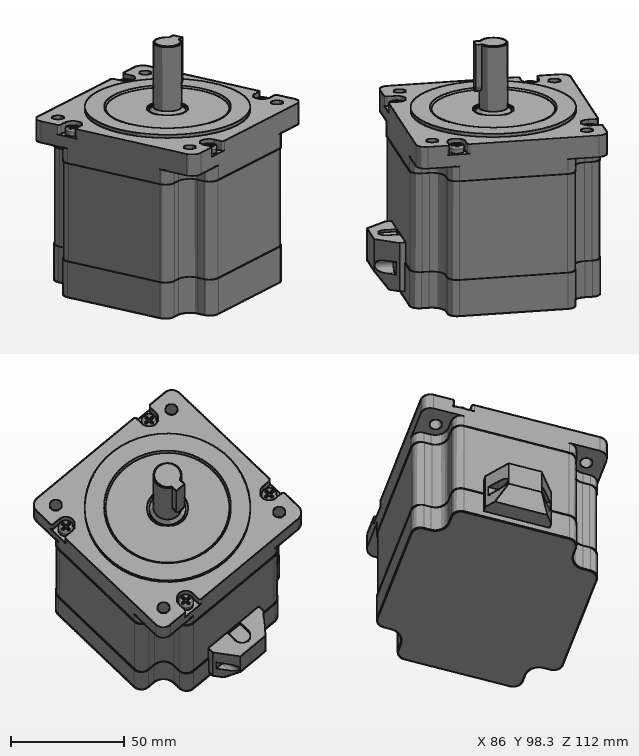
import cadquery as cq
import math

overall_height = 112.0
end_bell_top = 17.0
front_bell_bottom = 63.0
flange_bottom = 69.9
flange_top = 80.0
pilot_top = 81.5

flange_side = 86.0
half_side = flange_side / 2
corner_radius = 4.5
scoop_center = 35.2
scoop_edge = 28.9
lamination_inset = 0.3
lamination_scoop_inset = 0.1
bottom_chamfer = 0.3

bolt_offset = 34.8
bolt_hole_radius = 2.7

pilot_radius = 36.5
recess_radius = 28.0
recess_floor_radius = 27.2
recess_depth = 0.8
seal_bore_radius = 9.1
seal_radius = 8.1

shaft_radius = 6.3
shaft_chamfer = 0.5
key_width = 5.0
key_inner_y = 3.4
key_outer_y = 8.4
key_bottom = 89.7

screw_x = 24.6
screw_y = 38.3
pocket_radius = 4.0
pocket_depth = 4.5
pocket_mouth_fillet = 1.0
screw_radius = 3.4
screw_height = 3.0
screw_edge_radius = 0.9
cross_length = 4.4
cross_width = 0.9
cross_depth = 0.6

connector_bottom = 4.0
connector_top = 26.5
connector_end_y = 55.3
connector_taper_y = 45.5
connector_half_width = 15.2
connector_end_half_width = 7.6
connector_root_y = 40.3
underside_slope_y = 49.5
underside_slope_top = 11.6
thumb_radius = 3.7
thumb_tip_y = 51.9
thumb_depth = 1.1
grip_radius = 2.9
grip_z = 14.5
grip_inner_x = 7.7
grip_start_y = 46.7


def block(x_min, x_max, y_min, y_max, z_min, z_max):
    """Box given by its limits along each axis."""
    size = (x_max - x_min, y_max - y_min, z_max - z_min)
    return cq.Workplane("XY").box(*size, centered=False).translate((x_min, y_min, z_min))


def cylinder(radius, bottom, top, x=0.0, y=0.0):
    return cq.Workplane("XY").workplane(offset=bottom).center(x, y).circle(radius).extrude(top - bottom)


def four_fold(shape):
    """The shape repeated every quarter turn about the motor axis."""
    copies = shape
    for quarter in range(1, 4):
        copies = copies.union(shape.rotate((0, 0, 0), (0, 0, 1), 90 * quarter))
    return copies


def turned(x, y, quarter):
    """The point turned about the motor axis by a number of quarter turns."""
    for _ in range(quarter):
        x, y = -y, x
    return x, y


def housing_section(bottom, top, inset=0.0, scoop_inset=0.0):
    """Square block whose corners are scooped out around the bolts and rounded beside each scoop."""
    face = half_side - inset
    edge = scoop_edge - scoop_inset
    center = scoop_center - inset
    round_start = edge - corner_radius
    round_end = face - corner_radius
    round_mid = corner_radius * math.sqrt(0.5)
    scoop_mid = center - (center - edge) * math.sqrt(0.5)

    profile = cq.Workplane("XY").workplane(offset=bottom).moveTo(face, -round_start)
    for quarter in range(4):
        profile = (
            profile.lineTo(*turned(face, round_start, quarter))
            .threePointArc(
                turned(round_end + round_mid, round_start + round_mid, quarter),
                turned(round_end, edge, quarter),
            )
            .lineTo(*turned(center, edge, quarter))
            .threePointArc(turned(scoop_mid, scoop_mid, quarter), turned(edge, center, quarter))
            .lineTo(*turned(edge, round_end, quarter))
            .threePointArc(
                turned(round_start + round_mid, round_end + round_mid, quarter),
                turned(round_start, face, quarter),
            )
        )
    return profile.close().extrude(top - bottom)


def housing():
    """End bell, slightly smaller lamination stack and front bell."""
    end_bell = housing_section(0, end_bell_top).faces("<Z").chamfer(bottom_chamfer)
    laminations = housing_section(
        end_bell_top, front_bell_bottom, lamination_inset, lamination_scoop_inset
    )
    front_bell = housing_section(front_bell_bottom, flange_bottom)
    return end_bell.union(laminations).union(front_bell)


def flange():
    """Mounting plate with its pilot, bolt holes and pilot recess."""
    plate = block(-half_side, half_side, -half_side, half_side, flange_bottom, flange_top)
    plate = plate.edges("|Z").fillet(corner_radius)
    plate = plate.union(cylinder(pilot_radius, flange_top, pilot_top))
    bolt_hole = cylinder(bolt_hole_radius, flange_bottom, flange_top, bolt_offset, bolt_offset)
    recess = (
        cq.Workplane("XY")
        .workplane(offset=pilot_top - recess_depth)
        .circle(recess_floor_radius)
        .workplane(offset=recess_depth)
        .circle(recess_radius)
        .loft()
    )
    seal_bore = cylinder(seal_bore_radius, flange_top, pilot_top)
    return plate.cut(four_fold(bolt_hole)).cut(recess).cut(seal_bore)


def screw_pocket():
    """Round-ended pocket open to the +Y edge, its mouth flared by a fillet on each side."""
    floor = flange_top - pocket_depth
    mouth = half_side - pocket_mouth_fillet
    flare_half_width = pocket_radius + pocket_mouth_fillet
    pocket = cylinder(pocket_radius, floor, flange_top, screw_x, screw_y).union(
        block(screw_x - pocket_radius, screw_x + pocket_radius, screw_y, half_side, floor, flange_top)
    )
    flare = block(screw_x - flare_half_width, screw_x + flare_half_width, mouth, half_side, floor, flange_top)
    for side in (-1, 1):
        round_x = screw_x + side * flare_half_width
        flare = flare.cut(cylinder(pocket_mouth_fillet, floor, flange_top, round_x, mouth))
    return pocket.union(flare)


def screw():
    """Screw head with a rounded edge and a cross slot."""
    floor = flange_top - pocket_depth
    top = floor + screw_height
    head = cylinder(screw_radius, floor, top).faces(">Z").edges().fillet(screw_edge_radius)
    slots = (
        cq.Workplane("XY")
        .workplane(offset=top - cross_depth)
        .rect(cross_length, cross_width)
        .extrude(cross_depth)
    )
    slots = slots.union(slots.rotate((0, 0, 0), (0, 0, 1), 90))
    return head.cut(slots).translate((screw_x, screw_y, 0))


def shaft():
    """Keyed shaft rising through a conical seal."""
    post = cylinder(shaft_radius, flange_top, overall_height).faces(">Z").chamfer(shaft_chamfer)
    seal = (
        cq.Workplane("XY")
        .workplane(offset=flange_top)
        .circle(seal_radius)
        .workplane(offset=pilot_top - flange_top)
        .circle(shaft_radius)
        .loft()
    )
    half_key = key_width / 2
    key_end = key_bottom + half_key
    key = (
        cq.Workplane("XZ", origin=(0, key_outer_y, 0))
        .moveTo(-half_key, overall_height)
        .lineTo(-half_key, key_end)
        .threePointArc((0, key_bottom), (half_key, key_end))
        .lineTo(half_key, overall_height)
        .close()
        .extrude(key_outer_y - key_inner_y)
    )
    return post.union(seal).union(key)


def connector():
    """Tapered connector with a sloping underside, a thumb recess on top and a grip on each side."""
    body = (
        cq.Workplane("XY")
        .workplane(offset=connector_bottom)
        .moveTo(-connector_half_width, connector_root_y)
        .lineTo(connector_half_width, connector_root_y)
        .lineTo(connector_half_width, connector_taper_y)
        .lineTo(connector_end_half_width, connector_end_y)
        .lineTo(-connector_end_half_width, connector_end_y)
        .lineTo(-connector_half_width, connector_taper_y)
        .close()
        .extrude(connector_top - connector_bottom)
    )
    underside = (
        cq.Workplane("YZ")
        .moveTo(underside_slope_y, connector_bottom)
        .lineTo(connector_end_y, underside_slope_top)
        .lineTo(connector_end_y, connector_bottom)
        .close()
        .extrude(connector_half_width, both=True)
    )
    thumb_floor = connector_top - thumb_depth
    thumb_y = thumb_tip_y - thumb_radius
    thumb = cylinder(thumb_radius, thumb_floor, connector_top, y=thumb_y).union(
        block(-thumb_radius, thumb_radius, half_side, thumb_y, thumb_floor, connector_top)
    )
    grip_x = grip_inner_x + grip_radius
    grip = (
        cq.Workplane("XZ", origin=(0, connector_end_y, 0))
        .moveTo(connector_half_width, grip_z - grip_radius)
        .lineTo(grip_x, grip_z - grip_radius)
        .threePointArc((grip_inner_x, grip_z), (grip_x, grip_z + grip_radius))
        .lineTo(connector_half_width, grip_z + grip_radius)
        .close()
        .extrude(connector_end_y - grip_start_y)
    )
    grips = grip.union(grip.mirror("YZ"))
    return body.cut(underside).cut(thumb).cut(grips)


result = (
    housing()
    .union(flange())
    .cut(four_fold(screw_pocket()))
    .union(four_fold(screw()))
    .union(shaft())
    .union(connector())
)